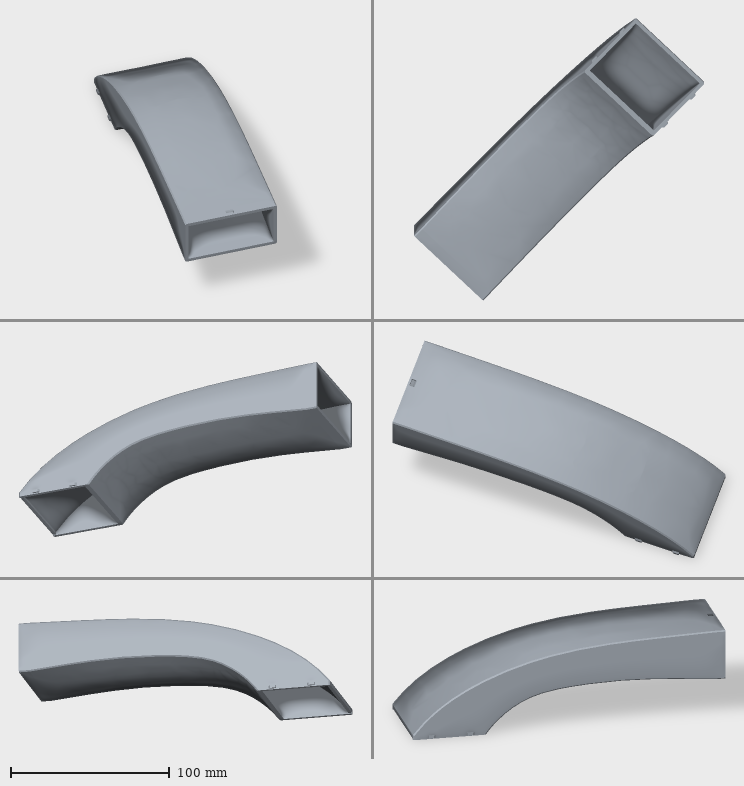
import cadquery as cq
import math

length = 201.8
width = 60.4
wall = 2.2
edge_chamfer = 0.8

foot_length = 47.2
lip_height = 3.2
lip_clearance = 0.6

mouth_length = 6.9
mouth_start = length - mouth_length
mouth_top = 57.5
mouth_bottom = 25.0

top_side = [(15.7, 18.8), (45.0, 36.0), (84.0, 48.6), (132.6, 55.1)]
top_middle = [(15.7, 19.0), (45.0, 37.5), (84.0, 51.9), (132.6, 57.7)]
under_side = [(147.3, 28.7), (103.3, 27.5), (74.0, 21.4), (59.5, 12.7)]
under_middle = [(147.3, 25.6), (103.3, 24.5), (74.0, 19.5), (59.5, 12.0)]

foot_angle = math.radians(45)
slide = math.tan(foot_angle / 2)

tab_length = 4.8
tab_ramp = 1.2
tab_height = 1.8
tab_reach = 1.2
tab_starts = (9.7, 34.7)

catch_start = 197.0
catch_length = 3.5
catch_ramp = 1.2
catch_width = tab_length
catch_depth = tab_reach


def shifted(points, dx, dz):
    return [(x + dx, z + dz) for x, z in points]


def profile(y, top_points, under_points, inset=0.0):
    """Closed lengthwise outline at the given y, drawn in by inset except at the two open ends."""
    top = shifted(top_points + [(mouth_start, mouth_top)], slide * inset, -inset)
    under = shifted([(mouth_start, mouth_bottom)] + under_points, -slide * inset, inset)
    foot_end = foot_length - inset / math.sin(foot_angle)
    outline = (
        cq.Workplane("XZ", origin=(0, y, 0))
        .moveTo(inset, 0)
        .lineTo(inset, lip_height - slide * inset)
        .spline(top, includeCurrent=True)
        .lineTo(length, mouth_top - inset)
        .lineTo(length, mouth_bottom + inset)
        .lineTo(*under[0])
        .spline(under[1:] + [(foot_end, 0)], includeCurrent=True)
        .close()
    )
    return outline.wires().val()


def crowned_body(half_width, inset=0.0):
    """Curved body whose top and underside bulge from the side edges to the middle."""
    sections = [
        profile(-half_width, top_side, under_side, inset),
        profile(0, top_middle, under_middle, inset),
        profile(half_width, top_side, under_side, inset),
    ]
    return cq.Workplane(obj=cq.Solid.makeLoft(sections))


def chamfered_flank(side):
    """Thin slab closing one side of the body with chamfered long edges."""
    sections = [
        profile(side * (width / 2 - edge_chamfer), top_side, under_side),
        profile(side * width / 2, top_side, under_side, edge_chamfer),
    ]
    return cq.Workplane(obj=cq.Solid.makeLoft(sections, True))


def snap_tab(start, side):
    """Tab on one side wall, rooted in the wall so that it fuses."""
    root = side * (width / 2 - wall / 2)
    face = side * width / 2
    tip = face + side * tab_reach
    return (
        cq.Workplane("XY", origin=(0, 0, lip_clearance))
        .polyline([
            (start, root),
            (start, tip),
            (start + tab_length - tab_ramp, tip),
            (start + tab_length, face),
            (start + tab_length, root),
        ])
        .close()
        .extrude(tab_height)
    )


def catch_recess():
    """Pocket for a mating tab."""
    return (
        cq.Workplane("XZ", origin=(0, catch_width / 2, 0))
        .polyline([
            (catch_start, mouth_top),
            (catch_start + catch_ramp, mouth_top - catch_depth),
            (catch_start + catch_length, mouth_top - catch_depth),
            (catch_start + catch_length, mouth_top),
        ])
        .close()
        .extrude(catch_width)
    )


def lip_gap():
    """Clearance under the front lip, between the side walls."""
    return cq.Workplane().box(wall, width - 2 * wall, lip_clearance, centered=(False, True, False))


def duct():
    """Hollow duct, open under the foot and at the mouth."""
    body = crowned_body(width / 2 - edge_chamfer)
    for side in (-1, 1):
        body = body.union(chamfered_flank(side))
    cavity = crowned_body(width / 2 - wall, wall)
    return body.cut(cavity).cut(lip_gap())


part = duct().cut(catch_recess())
for side in (-1, 1):
    for start in tab_starts:
        part = part.union(snap_tab(start, side))

result = part.solids()